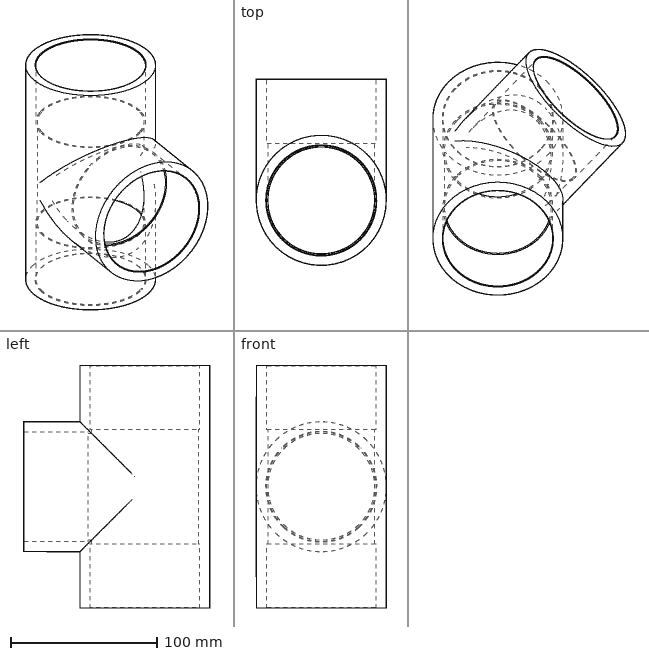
import cadquery as cq

outer_diameter = 89.0
socket_diameter = 75.0
bore_diameter = 73.0

arm_length = 83.0
socket_depth = 44.0
mouth_chamfer = 0.5

crossing = cq.Vector(0, 0, 0)
arm_directions = [
    cq.Vector(0, 0, 1),
    cq.Vector(0, 0, -1),
    cq.Vector(0, 1, 0),
]


def cylinder(diameter, length, start, direction):
    """Solid cylinder running from a start point along a direction."""
    return cq.Workplane(cq.Solid.makeCylinder(diameter / 2, length, start, direction))


def mouth_cone(end, inward):
    """45-degree cone that breaks the inner edge of a socket mouth."""
    socket_radius = socket_diameter / 2
    cone = cq.Solid.makeCone(
        socket_radius + mouth_chamfer, socket_radius, mouth_chamfer, end, inward
    )
    return cq.Workplane(cone)


def tee_body():
    """Union of the three outer arms, meeting at the crossing."""
    run_start = cq.Vector(0, 0, -arm_length)
    run = cylinder(outer_diameter, 2 * arm_length, run_start, cq.Vector(0, 0, 1))
    branch = cylinder(outer_diameter, arm_length, crossing, cq.Vector(0, 1, 0))
    return run.union(branch)


def cut_arm(body, direction):
    """Cut the bore, the pipe socket and the mouth chamfer of one arm."""
    end = direction * arm_length
    inward = direction * -1
    body = body.cut(cylinder(bore_diameter, arm_length, crossing, direction))
    body = body.cut(cylinder(socket_diameter, socket_depth, end, inward))
    return body.cut(mouth_cone(end, inward))


tee = tee_body()
for arm_direction in arm_directions:
    tee = cut_arm(tee, arm_direction)

result = tee